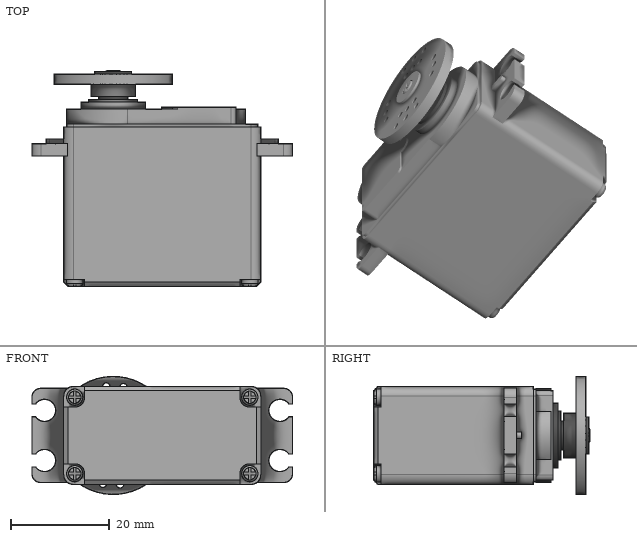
import cadquery as cq
import math


CASE_LENGTH = 40.0
CASE_WIDTH = 20.0
CASE_TOP = 32.45
CASE_CORNER_RADIUS = 2.0
END_CHAMFER = 0.9
LID_INSET = 0.6
LID_HEIGHT = 0.6
LID_TOP = CASE_TOP + LID_HEIGHT

FLANGE_SPAN = 53.0
FLANGE_WIDTH = 19.2
FLANGE_BOTTOM = 26.5
FLANGE_THICKNESS = 2.55
FLANGE_TOP = FLANGE_BOTTOM + FLANGE_THICKNESS
FLANGE_CORNER_RADIUS = 1.85
MOUNT_HOLE_SPAN = 47.8
MOUNT_HOLE_SPACING = 10.2
MOUNT_HOLE_RADIUS = 2.2
MOUNT_SLOT_WIDTH = 2.55
RIB_SPAN = 47.15
RIB_WIDTH = 1.3
RIB_HEIGHT = 0.95

SHAFT_X = -9.95
COVER_ROUND_RADIUS = 9.55
COVER_WIDTH = 18.2
COVER_RIGHT = 15.0
COVER_CORNER_RADIUS = 1.0
COVER_END_X = -SHAFT_X
COVER_END_RADIUS = 7.0
COVER_HEIGHT = 3.0
COVER_TOP = LID_TOP + COVER_HEIGHT

PAD_LEFT = 2.1
PAD_TAB_RADIUS = 2.2
PAD_HEIGHT = 0.4

SHAFT_STEPS = [(6.55, 1.45), (5.0, 0.6), (2.95, 0.55)]
SHAFT_TOP = COVER_TOP + sum(height for radius, height in SHAFT_STEPS)

HEAD_RADIUS = 1.65
HEAD_FLAT_RADIUS = 1.2
HEAD_HEIGHT = 1.5
HEAD_DOME_HEIGHT = 0.6
HEAD_DOME_BULGE = 0.05
HEAD_SLOT_LENGTH = 2.55
HEAD_SLOT_WIDTH = 0.6
HEAD_SLOT_DEPTH = 0.55

CASE_SCREW_EDGE_DISTANCE = 2.2
CASE_SCREW_X = CASE_LENGTH / 2 - CASE_SCREW_EDGE_DISTANCE
CASE_SCREW_Z = CASE_WIDTH / 2 - CASE_SCREW_EDGE_DISTANCE
POCKET_RADIUS = 2.0

HORN_HUB_RADIUS = 4.55
HORN_HUB_HEIGHT = 2.5
HORN_DISC_DIAMETER = 24.0
HORN_DISC_THICKNESS = 2.05
HORN_RAISE_RADIUS = 3.75
HORN_RAISE_HEIGHT = 0.6
HORN_TOP = SHAFT_TOP + HORN_HUB_HEIGHT + HORN_DISC_THICKNESS + HORN_RAISE_HEIGHT
HORN_TURN = 8.0
HORN_HOLE_RADIUS = 0.75
HORN_HOLE_STEP = 20.0
HORN_SIDE_HOLE_CIRCLE = 8.15
HORN_INNER_HOLE_CIRCLE = 7.0
HORN_OUTER_HOLE_CIRCLE = 10.0

OVERALL_TOP = 43.95
HORN_SCREW_BASE = OVERALL_TOP - HEAD_HEIGHT


def level(y, x=0.0):
    """Sketch plane at height y: local axes are X and Z. Extruding by a negative length goes toward +Y."""
    return cq.Workplane("XZ", origin=(x, y, 0))


def box(left, right, width, bottom, height):
    """Block from left to right in X, centred in Z, standing on the given Y."""
    middle = (left + right) / 2
    return level(bottom, middle).rect(right - left, width).extrude(-height)


def disc(radius, x, bottom, height):
    return level(bottom, x).circle(radius).extrude(-height)


def screw_head():
    """Head standing on Y = 0: a cylinder, a domed rim and a flat top with a cross slot."""
    dome_base = HEAD_HEIGHT - HEAD_DOME_HEIGHT
    rim_middle = (
        (HEAD_RADIUS + HEAD_FLAT_RADIUS) / 2 + HEAD_DOME_BULGE,
        dome_base + HEAD_DOME_HEIGHT / 2 + HEAD_DOME_BULGE,
    )
    head = (
        cq.Workplane("XY")
        .lineTo(HEAD_RADIUS, 0)
        .lineTo(HEAD_RADIUS, dome_base)
        .threePointArc(rim_middle, (HEAD_FLAT_RADIUS, HEAD_HEIGHT))
        .lineTo(0, HEAD_HEIGHT)
        .close()
        .revolve(360, (0, 0), (0, 1))
    )
    slot_floor = HEAD_HEIGHT - HEAD_SLOT_DEPTH
    for length, width in [(HEAD_SLOT_LENGTH, HEAD_SLOT_WIDTH), (HEAD_SLOT_WIDTH, HEAD_SLOT_LENGTH)]:
        head = head.cut(level(slot_floor).rect(length, width).extrude(-HEAD_SLOT_DEPTH))
    return head


def case_block():
    block = box(-CASE_LENGTH / 2, CASE_LENGTH / 2, CASE_WIDTH, 0, CASE_TOP)
    block = block.edges("|Y").fillet(CASE_CORNER_RADIUS)
    block = block.faces("<Y").chamfer(END_CHAMFER)
    lid_half_length = CASE_LENGTH / 2 - LID_INSET
    lid = box(-lid_half_length, lid_half_length, CASE_WIDTH - 2 * LID_INSET, CASE_TOP, LID_HEIGHT)
    return block.union(lid.edges("|Y").fillet(CASE_CORNER_RADIUS - LID_INSET))


def flanges():
    """One plate across the case with keyhole mounts at both ends and a stiffening rib on top."""
    end = FLANGE_SPAN / 2
    plate = box(-end, end, FLANGE_WIDTH, FLANGE_BOTTOM, FLANGE_THICKNESS)
    plate = plate.edges("|Y").fillet(FLANGE_CORNER_RADIUS)
    holes = level(FLANGE_BOTTOM).rect(MOUNT_HOLE_SPAN, MOUNT_HOLE_SPACING, forConstruction=True)
    holes = holes.vertices().circle(MOUNT_HOLE_RADIUS).extrude(-FLANGE_THICKNESS)
    slot_length = end - MOUNT_HOLE_SPAN / 2
    slot_span = FLANGE_SPAN - slot_length
    slots = level(FLANGE_BOTTOM).rect(slot_span, MOUNT_HOLE_SPACING, forConstruction=True)
    slots = slots.vertices().rect(slot_length, MOUNT_SLOT_WIDTH).extrude(-FLANGE_THICKNESS)
    rib = level(FLANGE_TOP).slot2D(RIB_SPAN, RIB_WIDTH).extrude(-RIB_HEIGHT)
    return plate.cut(holes).cut(slots).union(rib)


def gear_cover():
    """Large round at the shaft and a smaller one bulging from the far end, joined by a block."""
    block = box(SHAFT_X, COVER_RIGHT, COVER_WIDTH, LID_TOP, COVER_HEIGHT)
    block = block.edges("|Y and >X").fillet(COVER_CORNER_RADIUS)
    shaft_round = disc(COVER_ROUND_RADIUS, SHAFT_X, LID_TOP, COVER_HEIGHT)
    end_round = disc(COVER_END_RADIUS, COVER_END_X, LID_TOP, COVER_HEIGHT)
    return block.union(shaft_round).union(end_round)


def cover_pad():
    """Thin pad over the far part of the cover block, with a round tab pointing at the shaft."""
    pad = box(PAD_LEFT, COVER_RIGHT, COVER_WIDTH, COVER_TOP, PAD_HEIGHT)
    pad = pad.edges("|Y").fillet(COVER_CORNER_RADIUS)
    return pad.union(disc(PAD_TAB_RADIUS, PAD_LEFT, COVER_TOP, PAD_HEIGHT))


def output_shaft():
    bottom = COVER_TOP
    shaft = cq.Workplane("XZ")
    for radius, height in SHAFT_STEPS:
        shaft = shaft.union(disc(radius, SHAFT_X, bottom, height))
        bottom += height
    return shaft


def corner_pocket():
    """Square corner cut around a screw at X = Z = 0 that opens toward +X and +Z, rounded inside."""
    outer = CASE_SCREW_EDGE_DISTANCE
    size = outer + POCKET_RADIUS
    centre = (outer - POCKET_RADIUS) / 2
    pocket = level(0).center(centre, centre).rect(size, size).extrude(-HEAD_HEIGHT)
    return pocket.edges("|Y and <X and <Z").fillet(POCKET_RADIUS)


def case_corner():
    """Pocket and screw head of the +X, +Z corner; the head faces -Y, flush with the case end."""
    place = (CASE_SCREW_X, 0, CASE_SCREW_Z)
    head = screw_head().mirror("XZ").translate((0, HEAD_HEIGHT, 0))
    return corner_pocket().translate(place), head.translate(place)


def make_servo():
    servo = case_block().union(flanges()).union(gear_cover()).union(cover_pad()).union(output_shaft())
    pocket, head = case_corner()
    pockets = pocket.union(pocket.mirror("YZ"))
    heads = head.union(head.mirror("YZ"))
    servo = servo.cut(pockets).cut(pockets.mirror("XY"))
    return servo.union(heads).union(heads.mirror("XY"))


def horn_hole_centres():
    """Rows of three holes: one row on each side arm, two rows on each upright arm."""
    rows = []
    for arm in (0, 180):
        rows.append((HORN_SIDE_HOLE_CIRCLE, arm))
    for arm in (90, 270):
        rows.append((HORN_INNER_HOLE_CIRCLE, arm))
        rows.append((HORN_OUTER_HOLE_CIRCLE, arm))
    centres = []
    for circle, arm in rows:
        for step in (-1, 0, 1):
            angle = math.radians(arm + HORN_TURN + step * HORN_HOLE_STEP)
            centres.append((circle * math.cos(angle), circle * math.sin(angle)))
    return centres


def make_horn():
    disc_bottom = SHAFT_TOP + HORN_HUB_HEIGHT
    disc_top = disc_bottom + HORN_DISC_THICKNESS
    horn = disc(HORN_HUB_RADIUS, SHAFT_X, SHAFT_TOP, HORN_HUB_HEIGHT)
    horn = horn.union(disc(HORN_DISC_DIAMETER / 2, SHAFT_X, disc_bottom, HORN_DISC_THICKNESS))
    horn = horn.union(disc(HORN_RAISE_RADIUS, SHAFT_X, disc_top, HORN_RAISE_HEIGHT))
    holes = level(disc_bottom, SHAFT_X).pushPoints(horn_hole_centres())
    horn = horn.cut(holes.circle(HORN_HOLE_RADIUS).extrude(-HORN_DISC_THICKNESS))
    screw_recess = disc(HEAD_RADIUS, SHAFT_X, HORN_SCREW_BASE, HORN_TOP - HORN_SCREW_BASE)
    return horn.cut(screw_recess)


def make_horn_screw():
    turned = screw_head().rotate((0, 0, 0), (0, 1, 0), -HORN_TURN)
    return turned.translate((SHAFT_X, HORN_SCREW_BASE, 0))


servo = make_servo()
horn = make_horn()
horn_screw = make_horn_screw()

result = cq.Compound.makeCompound([servo.val(), horn.val(), horn_screw.val()])